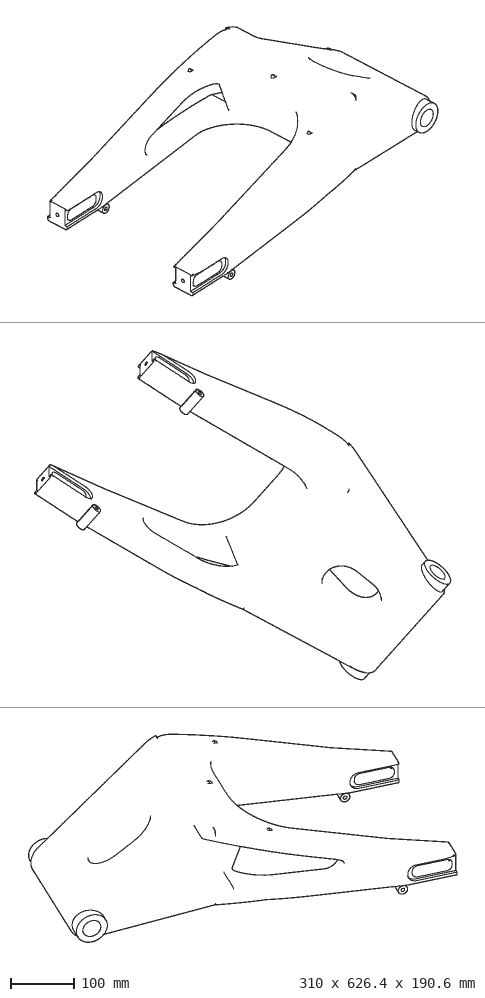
import cadquery as cq
import math

HALF_WIDTH = 310.0 / 2
TAIL_Y = -596.36
CREST_Z = 160.63
FAR = 1000.0
TOUCH = 0.05

PIVOT_RADIUS = 30.0
PIVOT_BORE_RADIUS = 15.0
BOSS_RADIUS = 26.0
BOSS_HALF_WIDTH = 111.0

CREST_Y = -205.0
CREST_RADIUS = 50.0
ARM_SLOPE = 20.0
BELLY_SLOPE = 13.0
BELLY_FRONT_Y = -197.0
BELLY_REAR_Y = -279.0
BELLY_REAR_Z = 13.5
ARM_CREASE_Y = -495.6
TAIL_TOP_Z = 27.0
TAIL_BOTTOM_Z = -12.6
TAIL_FLAT_Y = -515.0

TAPER = 12.0
TAPER_END_Y = -197.0
PARALLEL_START_Y = -350.0

OPENING_HALF_WIDTH = 113.0
OPENING_CORNER_RADIUS = 82.0
OPENING_FRONT_Y = -257.2

ARM_EDGE_FILLET = 10.0
OPENING_EDGE_FILLET = 4.0
EDGE_FILLET = 4.0
WEB_PLAIN_FILLET = 2.0

WINDOW_Y = -86.0
WINDOW_LENGTH = 100.0
WINDOW_WIDTH = 70.0
WINDOW_FILLET = 8.0

RECESS_FLOOR_X = -93.0
RECESS_FILLET = 4.0
RECESS_EDGE_FILLET = 5.0
RECESS_TOP_WALL = 27.5
RECESS_FRONT_LEDGE = 21.5
RECESS_REAR_LEDGE = 24.2
RECESS_END_RADIUS = 20.0
RECESS_START_Y = -150.0
SHOULDER_CENTRE = (-7.0, -8.5)
SHOULDER_RADIUS = 39.5
SHOULDER_ANGLES = (12.0, 50.0)
SHOULDER_LEAD = 28.0
SHOULDER_FOOT_RADIUS = 16.0

ARM_CENTRE_X = (HALF_WIDTH + OPENING_HALF_WIDTH) / 2
ARM_WIDTH = HALF_WIDTH - OPENING_HALF_WIDTH
SLOT_FRONT_Y = -523.0
SLOT_REAR_Y = -590.0
SLOT_BOTTOM_Z = -2.2
SLOT_TOP_Z = 19.2
SLOT_CORNER = 9.0
PAD_FRONT_Y = -514.0
PAD_BOTTOM_Z = -5.3
PAD_TOP_Z = 25.0
PAD_CORNER = 14.0
PAD_DEPTH = 5.0

ADJUSTER_RADIUS = 3.0
ADJUSTER_Z = 7.7
ADJUSTER_OVERRUN = 1.0
LUG_Y = -505.7
LUG_Z = -17.9
LUG_RADIUS = 8.0
LUG_BORE_RADIUS = 3.0

SCREW_HOLES = [(0.0, -236.5, 4.0), (-127.0, -291.5, 3.5), (127.0, -291.5, 3.5)]
SCREW_DEPTH = 12.0


def sin(angle):
    return math.sin(math.radians(angle))


def cos(angle):
    return math.cos(math.radians(angle))


def tan(angle):
    return math.tan(math.radians(angle))


def polar(centre, radius, tilt):
    """(y, z) point on a circle, tilted from +Z toward +Y."""
    return (centre[0] + radius * sin(tilt), centre[1] + radius * cos(tilt))


def crossing(line_a, line_b):
    """(y, z) where two lines, each (z at y = 0, slope), meet."""
    y = (line_b[0] - line_a[0]) / (line_a[1] - line_b[1])
    return (y, line_a[0] + line_a[1] * y)


def shifted(line, thickness):
    """The line moved up by a thickness measured square to it."""
    return (line[0] + thickness * math.hypot(1, line[1]), line[1])


def line_z(line, y):
    return line[0] + line[1] * y


PIVOT = (0.0, 0.0)
CREST_CENTRE = (CREST_Y, CREST_Z - CREST_RADIUS)
CREST_DISTANCE = math.hypot(*CREST_CENTRE)
WEB_SLOPE = math.degrees(
    math.atan2(CREST_CENTRE[1], -CREST_CENTRE[0])
    + math.asin((CREST_RADIUS - PIVOT_RADIUS) / CREST_DISTANCE)
)

ARM_START = polar(CREST_CENTRE, CREST_RADIUS, -ARM_SLOPE)
ARM_LINE = (ARM_START[1] - ARM_START[0] * tan(ARM_SLOPE), tan(ARM_SLOPE))
FRONT_BELLY = (-PIVOT_RADIUS / cos(BELLY_SLOPE), -tan(BELLY_SLOPE))
REAR_BELLY_SLOPE = (BELLY_REAR_Z - TAIL_BOTTOM_Z) / (BELLY_REAR_Y - TAIL_FLAT_Y)
REAR_BELLY = (BELLY_REAR_Z - REAR_BELLY_SLOPE * BELLY_REAR_Y, REAR_BELLY_SLOPE)

BEND_RADIUS = (TAPER_END_Y - PARALLEL_START_Y) / sin(TAPER)
BEND_CENTRE_X = HALF_WIDTH - BEND_RADIUS
TAPER_END_X = BEND_CENTRE_X + BEND_RADIUS * cos(TAPER)


def flank_x(y):
    """Half-width of the plan outline at y."""
    if y > TAPER_END_Y:
        return TAPER_END_X - (y - TAPER_END_Y) * tan(TAPER)
    if y > PARALLEL_START_Y:
        return BEND_CENTRE_X + math.sqrt(BEND_RADIUS**2 - (y - PARALLEL_START_Y) ** 2)
    return HALF_WIDTH


def arm_top_z(y):
    """Height of the arm's top face, ahead of and behind its crease."""
    crease_z = line_z(ARM_LINE, ARM_CREASE_Y)
    if y > ARM_CREASE_Y:
        return line_z(ARM_LINE, y)
    return crease_z + (TAIL_TOP_Z - crease_z) * (y - ARM_CREASE_Y) / (TAIL_Y - ARM_CREASE_Y)


def side_prism():
    return (
        cq.Workplane("YZ")
        .moveTo(*polar(PIVOT, PIVOT_RADIUS, 180 + BELLY_SLOPE))
        .threePointArc((PIVOT_RADIUS, 0), polar(PIVOT, PIVOT_RADIUS, WEB_SLOPE))
        .lineTo(*polar(CREST_CENTRE, CREST_RADIUS, WEB_SLOPE))
        .threePointArc((CREST_Y, CREST_Z), ARM_START)
        .lineTo(ARM_CREASE_Y, arm_top_z(ARM_CREASE_Y))
        .lineTo(TAIL_Y, TAIL_TOP_Z)
        .lineTo(TAIL_Y, TAIL_BOTTOM_Z)
        .lineTo(TAIL_FLAT_Y, TAIL_BOTTOM_Z)
        .lineTo(BELLY_REAR_Y, BELLY_REAR_Z)
        .lineTo(BELLY_FRONT_Y, line_z(FRONT_BELLY, BELLY_FRONT_Y))
        .close()
        .extrude(HALF_WIDTH, both=True)
    )


def plan_prism():
    bend_mid_y = (TAPER_END_Y + PARALLEL_START_Y) / 2
    half = (
        cq.Workplane("XY")
        .moveTo(0, PIVOT_RADIUS)
        .lineTo(flank_x(PIVOT_RADIUS), PIVOT_RADIUS)
        .lineTo(TAPER_END_X, TAPER_END_Y)
        .threePointArc((flank_x(bend_mid_y), bend_mid_y), (HALF_WIDTH, PARALLEL_START_Y))
        .lineTo(HALF_WIDTH, TAIL_Y)
        .lineTo(0, TAIL_Y)
        .close()
        .extrude(FAR, both=True)
    )
    return half.union(half.mirror("YZ"))


def wheel_opening():
    """U-shaped cutter, square to the arm face and open toward the tail."""
    arm_face = cq.Plane(
        (0, OPENING_FRONT_Y, arm_top_z(OPENING_FRONT_Y)),
        (1, 0, 0),
        (0, -sin(ARM_SLOPE), cos(ARM_SLOPE)),
    )
    return (
        cq.Workplane(arm_face)
        .center(0, -FAR / 2)
        .rect(2 * OPENING_HALF_WIDTH, FAR)
        .extrude(FAR, both=True)
        .edges(cq.selectors.ParallelDirSelector(arm_face.zDir))
        .edges(">Y")
        .fillet(OPENING_CORNER_RADIUS)
    )


def pick_edges(body, test):
    """Edges of the body whose midpoint passes the test."""
    return body.newObject([edge for edge in body.edges().vals() if test(edge.positionAt(0.5))])


def touching_edges(body, cutter, test):
    """Edges of the body that lie on the cutter's surface and pass the test."""
    shape = cutter.val()

    def on_cutter_and_wanted(p):
        return shape.distance(cq.Vertex.makeVertex(*p.toTuple())) < TOUCH and test(p)

    return pick_edges(body, on_cutter_and_wanted)


def on_flank(p):
    return abs(abs(p.x) - flank_x(p.y)) < TOUCH


def in_opening(p):
    return abs(p.x) < OPENING_HALF_WIDTH + TOUCH


def on_arm_top(p):
    return TAIL_Y + TOUCH < p.y < TAPER_END_Y - TOUCH and p.z > arm_top_z(p.y) - EDGE_FILLET


def on_belly(p):
    front_z = line_z(FRONT_BELLY, BELLY_FRONT_Y)
    return TAIL_Y + TOUCH < p.y < TAPER_END_Y - TOUCH and p.z < front_z + TOUCH


def recess_cutter():
    top_wall = shifted(ARM_LINE, -RECESS_TOP_WALL)
    front_ledge = shifted(FRONT_BELLY, RECESS_FRONT_LEDGE)
    rear_ledge = shifted(REAR_BELLY, RECESS_REAR_LEDGE)
    first, last = SHOULDER_ANGLES
    shoulder_start = polar(SHOULDER_CENTRE, SHOULDER_RADIUS, -first)
    shoulder_mid = polar(SHOULDER_CENTRE, SHOULDER_RADIUS, -(first + last) / 2)
    shoulder_end = polar(SHOULDER_CENTRE, SHOULDER_RADIUS, -last)
    shoulder_line = (shoulder_end[1] - shoulder_end[0] * tan(last), tan(last))
    lead_in = (
        shoulder_start[0] + SHOULDER_LEAD * cos(first),
        shoulder_start[1] + SHOULDER_LEAD * sin(first),
    )
    foot = crossing(shoulder_line, front_ledge)
    tip = crossing(top_wall, rear_ledge)
    cutter = (
        cq.Workplane("YZ")
        .workplane(offset=-FAR)
        .moveTo(*lead_in)
        .lineTo(*shoulder_start)
        .threePointArc(shoulder_mid, shoulder_end)
        .lineTo(*foot)
        .lineTo(*crossing(front_ledge, rear_ledge))
        .lineTo(*tip)
        .lineTo(RECESS_START_Y, line_z(top_wall, RECESS_START_Y))
        .close()
        .extrude(FAR + RECESS_FLOOR_X)
    )
    cutter = cutter.edges("|X").edges("<Y").fillet(RECESS_END_RADIUS)
    at_foot = pick_edges(cutter.edges("|X"), lambda p: abs(p.y - foot[0]) < TOUCH)
    cutter = cutter.newObject(at_foot.vals()).fillet(SHOULDER_FOOT_RADIUS)
    return cutter.faces(">X").edges().fillet(RECESS_FILLET)


def recess_rim(body, recess):
    """Edges where the recess walls meet the flank, away from the plane that splits the block."""
    return touching_edges(
        body, recess, lambda p: on_flank(p) and abs(p.y - TAPER_END_Y) > TOUCH)


def web_half(block, recess):
    """Tapered part ahead of the plan bend, with its share of the recess."""
    front = cq.Workplane("XY").box(FAR, FAR, FAR).translate((0, TAPER_END_Y + FAR / 2, 0))
    web = block.intersect(front).cut(recess)

    def floor_meets_web_top(p):
        on_floor = abs(p.x - RECESS_FLOOR_X) < TOUCH
        return on_floor and p.y > RECESS_START_Y and p.z > SHOULDER_RADIUS

    web = pick_edges(web, floor_meets_web_top).fillet(RECESS_EDGE_FILLET)
    web = recess_rim(web, recess).fillet(EDGE_FILLET)
    outline = pick_edges(web, lambda p: p.x > 0 and on_flank(p) and p.y > TAPER_END_Y + TOUCH)
    return outline.fillet(WEB_PLAIN_FILLET)


def arms_half(block, recess):
    """Forked part behind the start of the plan bend, with its share of the recess."""
    rear = cq.Workplane("XY").box(FAR, FAR, FAR).translate((0, TAPER_END_Y - FAR / 2, 0))
    arms = block.intersect(rear).cut(wheel_opening()).cut(recess)
    arms = recess_rim(arms, recess).fillet(EDGE_FILLET)
    arms = pick_edges(arms, lambda p: on_flank(p) and on_arm_top(p)).fillet(ARM_EDGE_FILLET)
    inner_top = pick_edges(
        arms, lambda p: in_opening(p) and on_arm_top(p) and p.y < OPENING_FRONT_Y + TOUCH)
    arms = inner_top.fillet(OPENING_EDGE_FILLET)
    lower = pick_edges(arms, lambda p: on_belly(p) and (on_flank(p) or in_opening(p)))
    arms = lower.fillet(EDGE_FILLET)
    breakthrough = (
        arms.edges(cq.selectors.ParallelDirSelector(cq.Vector(0, -sin(ARM_SLOPE), cos(ARM_SLOPE))))
        .filter(lambda edge: abs(edge.Center().x - RECESS_FLOOR_X) < TOUCH)
    )
    return arms.newObject(breakthrough.vals()).fillet(RECESS_EDGE_FILLET)


def side_slab(front_y, rear_y, bottom_z, top_z, corner, x_start, x_length):
    """Rounded rectangle in the YZ plane, extruded along X."""
    return (
        cq.Workplane("YZ", origin=(x_start, (front_y + rear_y) / 2, (bottom_z + top_z) / 2))
        .rect(front_y - rear_y, top_z - bottom_z)
        .extrude(x_length)
        .edges("|X")
        .fillet(corner)
    )


def x_cylinder(y, z, radius, x_start, x_length):
    return cq.Workplane("YZ", origin=(x_start, y, z)).circle(radius).extrude(x_length)


def add_boss(body):
    boss = x_cylinder(0, 0, BOSS_RADIUS, -BOSS_HALF_WIDTH, 2 * BOSS_HALF_WIDTH)
    bore = x_cylinder(0, 0, PIVOT_BORE_RADIUS, -FAR, 2 * FAR)
    return body.union(boss).cut(bore)


def cut_window(body):
    cutter = (
        cq.Workplane("XY")
        .center(0, WINDOW_Y)
        .slot2D(WINDOW_LENGTH, WINDOW_WIDTH, 90)
        .extrude(FAR, both=True)
    )
    body = body.cut(cutter)
    rim = touching_edges(body, cutter, lambda p: True)
    rim = rim.filter(lambda edge: abs(edge.tangentAt(0.5).z) < 1 - TOUCH)
    return rim.fillet(WINDOW_FILLET)


def cut_screw_holes(body):
    inward = cq.Vector(0, -sin(ARM_SLOPE), -cos(ARM_SLOPE))
    for x, y, radius in SCREW_HOLES:
        mouth = cq.Vector(x, y, arm_top_z(y))
        hole = cq.Solid.makeCylinder(radius, SCREW_DEPTH, mouth, inward)
        body = body.cut(cq.Workplane(hole))
    return body


def finish_arm_end(body, side):
    """Lug, pads, axle slot and adjuster bore of the arm on one side (-1 or 1)."""
    low_x = side * ARM_CENTRE_X - ARM_WIDTH / 2
    high_x = low_x + ARM_WIDTH
    body = body.union(x_cylinder(LUG_Y, LUG_Z, LUG_RADIUS, low_x, ARM_WIDTH))
    body = body.cut(x_cylinder(LUG_Y, LUG_Z, LUG_BORE_RADIUS, low_x, ARM_WIDTH))
    pad_rear_y = TAIL_Y - PAD_CORNER
    for pad_x in (low_x, high_x - PAD_DEPTH):
        body = body.cut(side_slab(
            PAD_FRONT_Y, pad_rear_y, PAD_BOTTOM_Z, PAD_TOP_Z, PAD_CORNER, pad_x, PAD_DEPTH))
    body = body.cut(side_slab(
        SLOT_FRONT_Y, SLOT_REAR_Y, SLOT_BOTTOM_Z, SLOT_TOP_Z, SLOT_CORNER, low_x, ARM_WIDTH))
    tail_start = cq.Vector(side * ARM_CENTRE_X, TAIL_Y, ADJUSTER_Z)
    bore_length = SLOT_REAR_Y - TAIL_Y + ADJUSTER_OVERRUN
    bore = cq.Solid.makeCylinder(ADJUSTER_RADIUS, bore_length, tail_start, cq.Vector(0, 1, 0))
    return body.cut(cq.Workplane(bore))


recess = recess_cutter()
block = side_prism().intersect(plan_prism())
body = web_half(block, recess).union(arms_half(block, recess))
body = cut_window(body)
body = add_boss(body)
body = cut_screw_holes(body)
for side in (-1, 1):
    body = finish_arm_end(body, side)
result = body